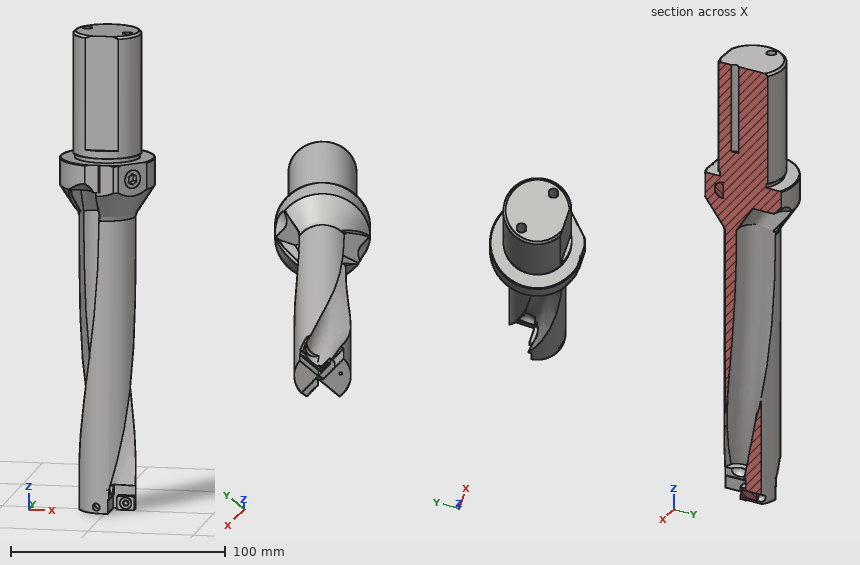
import cadquery as cq
import math

TOTAL_HEIGHT = 228.1
SHANK_RADIUS = 16.0
SHANK_CHAMFER = 1.1
SHANK_BOTTOM = 170.2
RELIEF_RADIUS = 15.3
FLANGE_RADIUS = 44.5 / 2
FLANGE_TOP = 168.1
FLANGE_BOTTOM = 155.1
FLANGE_CHAMFER = 0.5
NECK_RADIUS = 14.0
NECK_TOP = 142.1
NECK_BOTTOM = 140.0
BODY_RADIUS = 13.2
BODY_BOTTOM = 0.7

SHANK_FLAT_DISTANCE = 14.0
SHANK_FLAT_BOTTOM = 173.8
FRONT_FLAT_DISTANCE = 21.2
PLUG_FLAT_DISTANCE = 20.8
PLUG_ANGLE = -45.0
INLET_RADIUS = 2.3
INLET_CIRCLE_RADIUS = 11.2
INLET_ANGLE = 157.0
INLET_DEPTH = 45.6

MARK_WIDTH = 0.7
MARK_DEPTH = 0.2

HEX_SIDES = 6

PLUG_RADIUS = 4.3
PLUG_LENGTH = 6.8
PLUG_HEIGHT = 160.8
PLUG_SOCKET_ACROSS_CORNERS = 5.0
PLUG_SOCKET_DEPTH = 2.7

FLUTE_TOP = 141.5
FLUTE_BOTTOM = 11.9
FLUTE_SECTIONS = 12
TWIST_ANGLE = 68.0
TWIST_LENGTH = 116.3
FLUTE_ARC_CENTRE = (-6.6, -3.5)
FLUTE_ARC_RADIUS = 7.3
FLUTE_ARC_LEFT_X = -11.6
FLUTE_LEFT_END = (-14.5, -5.5)
FLUTE_WALL_LEAN = 14.0
FLUTE_OUTSIDE = 18.3
RUNOUT_TOP = 155.1
RUNOUT_SLOPE = 1.6
RAMP_START = -0.5
RAMP_SLOPE = 0.87
RAMP_RIGHT_X = -1.1
RAMP_FILLET = 8.0

OUTER_POCKET_SIDE = 2.5
INNER_POCKET_SIDE = -1.4
POCKET_BACK = 1.4
POCKET_REACH = 18.3
POCKET_TOP = 7.3
CLEARANCE_TOP = 11.9
CLEARANCE_STEP = 0.5
GASH_TOP = 19.8
GASH_WIDTH = 4.5
BOWL_OFFSET = 2.0
BOWL_Y = 5.5
BOWL_RADIUS = 4.3
BOWL_BOTTOM = 8.7
BOWL_TOP = 22.4
BOWL_FILLET = 3.2

INSERT_WIDTH = 8.2
INSERT_HEIGHT = 6.6
INSERT_THICKNESS = 3.0
INSERT_CORNER_RADIUS = 0.7
INSERT_BOTTOM = 0.5
OUTER_INSERT_X = 9.0
INNER_INSERT_X = 3.0
SCREW_RADIUS = 1.7
SCREW_LENGTH = 9.0
SCREW_HEAD_RADIUS = 2.7
SCREW_HEAD_HEIGHT = 1.4
SCREW_SOCKET_ACROSS_CORNERS = 2.7
SCREW_SOCKET_DEPTH = 1.0

TIP_RADIUS = 0.7
TIP_POSITION = (-6.6, -5.5)

INSERT_CENTRE_Z = INSERT_BOTTOM + INSERT_HEIGHT / 2
INSERT_FACE = INSERT_THICKNESS - POCKET_BACK


INSERT_PLACES = [(INNER_INSERT_X, 0), (OUTER_INSERT_X, 180)]


def turn(solid, angle):
    return solid.rotate((0, 0, 0), (0, 0, 1), angle)


def half_turn(solid):
    return turn(solid, 180)


def turned_blank():
    profile = [
        (0, BODY_BOTTOM),
        (BODY_RADIUS, BODY_BOTTOM),
        (BODY_RADIUS, NECK_BOTTOM),
        (NECK_RADIUS, NECK_TOP),
        (FLANGE_RADIUS, FLANGE_BOTTOM),
        (FLANGE_RADIUS, FLANGE_TOP - FLANGE_CHAMFER),
        (FLANGE_RADIUS - FLANGE_CHAMFER, FLANGE_TOP),
        (RELIEF_RADIUS, FLANGE_TOP),
        (RELIEF_RADIUS, SHANK_BOTTOM),
        (SHANK_RADIUS, SHANK_BOTTOM),
        (SHANK_RADIUS, TOTAL_HEIGHT - SHANK_CHAMFER),
        (SHANK_RADIUS - SHANK_CHAMFER, TOTAL_HEIGHT),
        (0, TOTAL_HEIGHT),
    ]
    return cq.Workplane("XZ").polyline(profile).close().revolve(360, (0, 0, 0), (0, 1, 0))


def flat_cutter(distance, bottom, top, angle):
    """Block that leaves an upright flat at this distance from the axis, facing the given angle."""
    size = 2 * FLANGE_RADIUS
    block = cq.Workplane("XY").box(size, size, top - bottom, centered=(False, True, False))
    return turn(block.translate((distance, 0, bottom)), angle)


def flute_section(height):
    """Closed outline of one flute at this height, twisted about the axis."""
    drop = (FLUTE_TOP - height) / TWIST_LENGTH
    centre_x, centre_y = FLUTE_ARC_CENTRE
    left_y = centre_y + math.sqrt(FLUTE_ARC_RADIUS**2 - (FLUTE_ARC_LEFT_X - centre_x) ** 2)
    lean = math.radians(FLUTE_WALL_LEAN)
    tangent_x = centre_x + FLUTE_ARC_RADIUS * math.cos(lean)
    tangent_y = centre_y - FLUTE_ARC_RADIUS * math.sin(lean)
    wall_end_x = tangent_x - (tangent_y + FLUTE_OUTSIDE) * math.tan(lean)
    outline = (
        cq.Workplane("XY")
        .moveTo(*FLUTE_LEFT_END)
        .lineTo(FLUTE_ARC_LEFT_X, left_y)
        .threePointArc((centre_x, centre_y + FLUTE_ARC_RADIUS), (tangent_x, tangent_y))
        .lineTo(wall_end_x, -FLUTE_OUTSIDE)
        .lineTo(FLUTE_LEFT_END[0], -FLUTE_OUTSIDE)
        .close()
        .val()
    )
    turned = outline.rotate(cq.Vector(0, 0, 0), cq.Vector(0, 0, 1), -TWIST_ANGLE * drop**2)
    return turned.translate(cq.Vector(0, 0, height))


def flute_cutter():
    step = (FLUTE_TOP - FLUTE_BOTTOM) / (FLUTE_SECTIONS - 1)
    sections = [flute_section(FLUTE_TOP - i * step) for i in range(FLUTE_SECTIONS)]
    return cq.Workplane(obj=cq.Solid.makeLoft(sections, False))


def runout_cutter():
    """Upper end of a flute: a steep trough and, at its top, a wider flat ramp out through the flange."""
    rise = RUNOUT_TOP - FLUTE_TOP
    start = flute_section(FLUTE_TOP)
    end = start.translate(cq.Vector(0, -rise / RUNOUT_SLOPE, rise))
    trough = cq.Workplane(obj=cq.Solid.makeLoft([start, end], True))

    reach = FLANGE_RADIUS + RAMP_START
    ramp_middle_y = (RAMP_START - FLANGE_RADIUS) / 2
    right_edge_middle = (RAMP_RIGHT_X, ramp_middle_y, FLUTE_TOP + reach * RAMP_SLOPE / 2)
    ramp_outline = [
        (RAMP_START, FLUTE_TOP),
        (-FLANGE_RADIUS, FLUTE_TOP),
        (-FLANGE_RADIUS, FLUTE_TOP + reach * RAMP_SLOPE),
    ]
    ramp = (
        cq.Workplane("YZ", origin=(RAMP_RIGHT_X, 0, 0))
        .polyline(ramp_outline)
        .close()
        .extrude(-FLANGE_RADIUS)
        .edges(cq.selectors.NearestToPointSelector(right_edge_middle))
        .fillet(RAMP_FILLET)
    )
    return trough.union(ramp)


def pocket_cutter(side):
    """Insert pocket on the -X side, with the clearance, gash and bowl that join it to the flute."""
    width = POCKET_REACH + POCKET_BACK
    pocket = cq.Workplane("XY").box(POCKET_REACH, width, POCKET_TOP, centered=False)
    pocket = pocket.translate((-side - POCKET_REACH, -POCKET_BACK, 0))
    clearance = cq.Workplane("XY").box(POCKET_REACH, width, CLEARANCE_TOP, centered=False)
    clearance = clearance.translate((-side - CLEARANCE_STEP - POCKET_REACH, -POCKET_BACK, 0))
    gash_outline = [
        (-side - CLEARANCE_STEP, CLEARANCE_TOP),
        (-side - GASH_WIDTH, GASH_TOP),
        (-side - POCKET_REACH, GASH_TOP),
        (-side - POCKET_REACH, CLEARANCE_TOP),
    ]
    gash = cq.Workplane("XZ", origin=(0, BOWL_Y, 0)).polyline(gash_outline).close().extrude(-POCKET_REACH)
    bowl = (
        cq.Workplane("XY", origin=(-side - BOWL_OFFSET, BOWL_Y, BOWL_BOTTOM))
        .circle(BOWL_RADIUS)
        .extrude(BOWL_TOP - BOWL_BOTTOM)
        .faces("<Z")
        .edges()
        .fillet(BOWL_FILLET)
    )
    return pocket.union(clearance).union(gash).union(bowl)


def insert_block(centre_x):
    """Insert without its hole, for a pocket on the -X side."""
    return (
        cq.Workplane("XZ", origin=(-centre_x, -POCKET_BACK, INSERT_CENTRE_Z))
        .rect(INSERT_WIDTH, INSERT_HEIGHT)
        .extrude(-INSERT_THICKNESS)
        .edges("|Y")
        .fillet(INSERT_CORNER_RADIUS)
    )


def screw_blank(centre_x, length):
    plane = cq.Workplane("XZ", origin=(-centre_x, INSERT_FACE, INSERT_CENTRE_Z))
    head = plane.circle(SCREW_HEAD_RADIUS).extrude(SCREW_HEAD_HEIGHT)
    return head.union(plane.circle(SCREW_RADIUS).extrude(length))


def make_insert(centre_x):
    return insert_block(centre_x).cut(screw_blank(centre_x, SCREW_LENGTH))


def make_screw(centre_x):
    socket = (
        cq.Workplane("XZ", origin=(-centre_x, INSERT_FACE, INSERT_CENTRE_Z))
        .polygon(HEX_SIDES, SCREW_SOCKET_ACROSS_CORNERS)
        .extrude(SCREW_SOCKET_DEPTH)
    )
    return screw_blank(centre_x, SCREW_LENGTH).cut(socket)


def plug_plane():
    angle = math.radians(PLUG_ANGLE)
    outward = cq.Vector(math.cos(angle), math.sin(angle), 0)
    origin = outward * PLUG_FLAT_DISTANCE + cq.Vector(0, 0, PLUG_HEIGHT)
    return cq.Workplane(cq.Plane(origin, xDir=(0, 0, 1), normal=outward))


def plug_blank():
    return plug_plane().circle(PLUG_RADIUS).extrude(-PLUG_LENGTH)


def make_plug():
    socket = plug_plane().polygon(HEX_SIDES, PLUG_SOCKET_ACROSS_CORNERS).extrude(-PLUG_SOCKET_DEPTH)
    return plug_blank().cut(socket)


def make_body():
    body = turned_blank()

    body = body.cut(flat_cutter(SHANK_FLAT_DISTANCE, SHANK_FLAT_BOTTOM, TOTAL_HEIGHT, -90))
    body = body.cut(flat_cutter(FRONT_FLAT_DISTANCE, NECK_TOP, FLANGE_TOP, -90))
    body = body.cut(flat_cutter(PLUG_FLAT_DISTANCE, NECK_TOP, FLANGE_TOP, PLUG_ANGLE))
    mark_height = FLANGE_TOP - FLANGE_BOTTOM
    mark = cq.Workplane("XY").box(MARK_WIDTH, 2 * MARK_DEPTH, mark_height, centered=(True, True, False))
    body = body.cut(mark.translate((0, -FRONT_FLAT_DISTANCE, FLANGE_BOTTOM)))

    inlets = (
        cq.Workplane("XY", origin=(0, 0, TOTAL_HEIGHT))
        .polarArray(INLET_CIRCLE_RADIUS, INLET_ANGLE, 360, 2)
        .circle(INLET_RADIUS)
        .extrude(-INLET_DEPTH)
    )
    body = body.cut(inlets).cut(plug_blank())

    for cutter in (flute_cutter(), runout_cutter()):
        body = body.cut(cutter).cut(half_turn(cutter))
    body = body.cut(pocket_cutter(INNER_POCKET_SIDE)).cut(half_turn(pocket_cutter(OUTER_POCKET_SIDE)))

    for centre_x, angle in INSERT_PLACES:
        seat = insert_block(centre_x).union(screw_blank(centre_x, 2 * BODY_RADIUS))
        body = body.cut(turn(seat, angle))

    tip = cq.Solid.makeCone(TIP_RADIUS, 0, BODY_BOTTOM, pnt=(*TIP_POSITION, BODY_BOTTOM), dir=(0, 0, -1))
    return body.union(cq.Workplane(obj=tip))


body = make_body()
plug = make_plug()
inserts = [turn(make_insert(centre_x), angle) for centre_x, angle in INSERT_PLACES]
screws = [turn(make_screw(centre_x), angle) for centre_x, angle in INSERT_PLACES]

result = cq.Compound.makeCompound(
    [
        body.val(),
        plug.val(),
        *[insert.val() for insert in inserts],
        *[screw.val() for screw in screws],
    ]
)